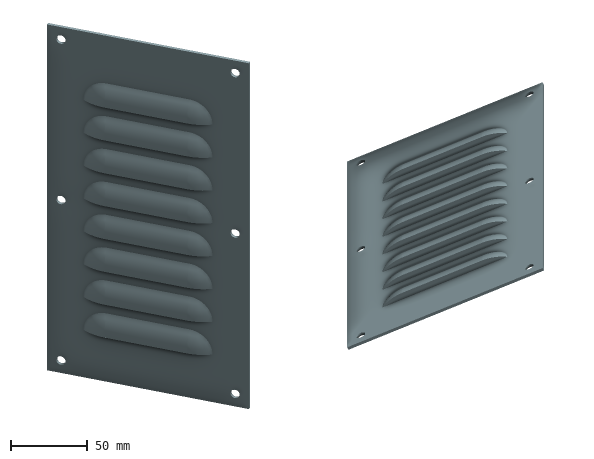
import cadquery as cq

plate_width = 139.8
plate_height = 266.7
total_depth = 6.5
plate_thickness = 2.0

hole_diameter = 6.5
hole_margin = 9.5
hole_x = plate_width / 2 - hole_margin
hole_z = plate_height / 2 - hole_margin

louvre_count = 8
louvre_pitch = 25.3
louvre_height = 16.0
louvre_straight = 57.3
louvre_depth = total_depth - plate_thickness

hood_radius = (louvre_height**2 + louvre_depth**2) / (2 * louvre_depth)
hood_center_y = hood_radius - louvre_depth
arc_mid_z = louvre_height / 2
arc_mid_y = hood_center_y - (hood_radius**2 - arc_mid_z**2) ** 0.5


def make_plate():
    plate = cq.Workplane("XY").box(
        plate_width, plate_thickness, plate_height, centered=(True, False, True)
    )
    hole_points = [(x, z) for x in (-hole_x, hole_x) for z in (-hole_z, 0, hole_z)]
    holes = (
        cq.Workplane("XZ")
        .pushPoints(hole_points)
        .circle(hole_diameter / 2)
        .extrude(-plate_thickness)
    )
    return plate.cut(holes)


def hood_section(workplane):
    """Louvre section; local x is the outward depth axis Y and local y is Z."""
    return (
        workplane.moveTo(plate_thickness, 0)
        .lineTo(-louvre_depth, 0)
        .threePointArc((arc_mid_y, arc_mid_z), (0, louvre_height))
        .lineTo(plate_thickness, louvre_height)
        .close()
    )


def make_louvre():
    """Louvre with the middle of its flat lower edge at the origin."""
    half_straight = louvre_straight / 2
    louvre = hood_section(cq.Workplane("YZ", origin=(-half_straight, 0, 0))).extrude(louvre_straight)

    dome = (
        cq.Workplane("XY")
        .sphere(hood_radius)
        .translate((0, hood_center_y, 0))
        .intersect(
            cq.Workplane("XY").box(
                2 * louvre_height, louvre_depth, louvre_height, centered=(True, False, False)
            ).translate((0, -louvre_depth, 0))
        )
    )
    for x in (-half_straight, half_straight):
        louvre = louvre.union(dome.translate((x, 0, 0)))
    return louvre


result = make_plate()
louvre = make_louvre()
lowest_edge_z = -((louvre_count - 1) * louvre_pitch + louvre_height) / 2
for index in range(louvre_count):
    result = result.union(louvre.translate((0, 0, lowest_edge_z + index * louvre_pitch)))